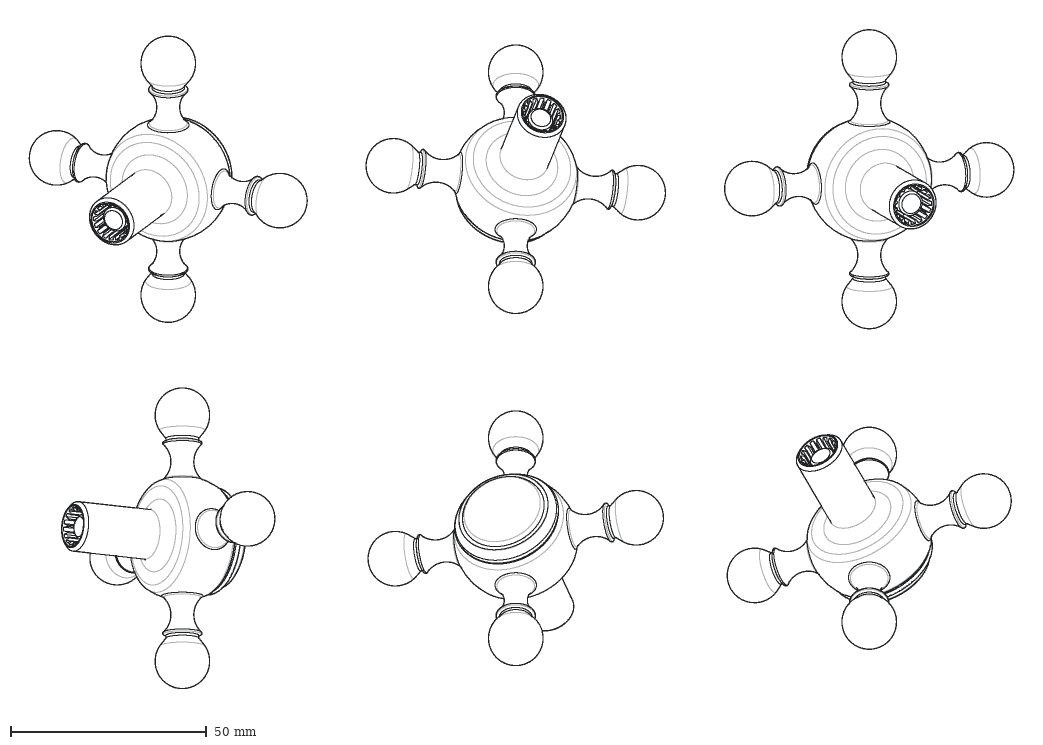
import cadquery as cq
import math

overall_span = 78.0
overall_length = 47.25
button_top_y = 14.4
arm_count = 4

hub_half_length = 7.65
hub_rim_fillet = 1.95
hub_sphere_radius = 15.9

stem_radius = 6.4
stem_end_y = button_top_y - overall_length
stem_root_fillet = 3.0
stem_end_chamfer = 0.85

bore_depth = 9.35
spline_root_radius = 4.9
spline_tip_radius = 4.2
spline_count = 16
spline_base_width = 0.9
spline_tip_width = 0.3
lead_in_radius = 5.2
lead_in_depth = 0.9

screw_radius = 3.2
screw_chamfer = 0.6
screw_clearance_radius = 3.5
screw_clearance_depth = 0.8
screw_recess = 1.9
screw_seat_depth = 6.2

ball_radius = 7.0
ball_center = overall_span / 2 - ball_radius
ball_neck_start = 28.1
arm_inner_end = 11.7
arm_base_radius = 5.3
arm_cove_start = 15.4
arm_cove_start_radius = 4.8
arm_waist_radius = 3.0
arm_cove_end = 24.5
collar_side_radius = 4.9
collar_radius = 5.1
collar_position = 24.7
collar_end = 24.95
groove_radius = 4.2
groove_start = 25.3
groove_end = 26.0

ring_neck_radius = 13.5
ring_bead_start_y = 8.0
ring_bead_end_y = 9.3
ring_bead_radius = 13.8
ring_bead_side_radius = 13.5
ring_top_y = 11.6
ring_top_band = 0.2
ring_top_radius = 11.85
ring_cove_radius = 12.2
ring_cove_y = 10.2

button_radius = 10.85
button_shoulder_radius = 10.1
button_shoulder_y = 12.8
button_bulge_radius = 10.7
button_bulge_y = 12.25


def turned(profile):
    """Revolve a closed profile, drawn as (radius, Y), about the Y axis."""
    return profile.close().revolve(360, (0, 0, 0), (0, 1, 0))


def make_screw():
    """Screw with a chamfered tip, seated blind in the stem beyond the bore."""
    end_y = stem_end_y + screw_recess
    seat_y = stem_end_y + bore_depth + screw_seat_depth
    profile = (
        cq.Workplane("XY")
        .moveTo(0, end_y)
        .lineTo(screw_radius - screw_chamfer, end_y)
        .lineTo(screw_radius, end_y + screw_chamfer)
        .lineTo(screw_radius, seat_y)
        .lineTo(0, seat_y)
    )
    return turned(profile)


def make_splined_bore():
    """Cutter for the bore: a toothed cylinder, its tapered mouth and the gap round the screw."""
    bore_plane = cq.Plane(origin=(0, stem_end_y, 0), xDir=(1, 0, 0), normal=(0, 1, 0))
    bore = cq.Workplane(bore_plane).circle(spline_root_radius).extrude(bore_depth)
    tooth = (
        cq.Workplane(bore_plane)
        .polyline([
            (spline_tip_radius, -spline_tip_width / 2),
            (spline_root_radius, -spline_base_width / 2),
            (stem_radius, -spline_base_width / 2),
            (stem_radius, spline_base_width / 2),
            (spline_root_radius, spline_base_width / 2),
            (spline_tip_radius, spline_tip_width / 2),
        ])
        .close()
        .extrude(bore_depth)
    )
    pitch_angle = 360 / spline_count
    for index in range(spline_count):
        bore = bore.cut(tooth.rotate((0, 0, 0), (0, 1, 0), (index + 0.5) * pitch_angle))
    lead_in = turned(
        cq.Workplane("XY")
        .moveTo(0, stem_end_y)
        .lineTo(lead_in_radius, stem_end_y)
        .lineTo(spline_tip_radius, stem_end_y + lead_in_depth)
        .lineTo(0, stem_end_y + lead_in_depth)
    )
    clearance_depth = bore_depth + screw_clearance_depth
    clearance = cq.Workplane(bore_plane).circle(screw_clearance_radius).extrude(clearance_depth)
    return bore.union(lead_in).union(clearance)


def make_hub(arms, screw):
    """Hub and stem in one turned body, with the bore, the screw hole and the arm sockets cut out."""
    fillet_mid = stem_root_fillet * (1 - math.sqrt(0.5))
    rim_center_y = hub_half_length - hub_rim_fillet
    face_radius = math.sqrt((hub_sphere_radius - hub_rim_fillet) ** 2 - rim_center_y**2)
    rim_angle = math.atan2(rim_center_y, face_radius)
    rim_radius = hub_sphere_radius * math.cos(rim_angle)
    rim_y = hub_sphere_radius * math.sin(rim_angle)
    rim_mid_angle = (rim_angle + math.pi / 2) / 2
    rim_mid_radius = face_radius + hub_rim_fillet * math.cos(rim_mid_angle)
    rim_mid_y = rim_center_y + hub_rim_fillet * math.sin(rim_mid_angle)
    profile = (
        cq.Workplane("XY")
        .moveTo(0, stem_end_y)
        .lineTo(stem_radius - stem_end_chamfer, stem_end_y)
        .lineTo(stem_radius, stem_end_y + stem_end_chamfer)
        .lineTo(stem_radius, -hub_half_length - stem_root_fillet)
        .threePointArc(
            (stem_radius + fillet_mid, -hub_half_length - fillet_mid),
            (stem_radius + stem_root_fillet, -hub_half_length),
        )
        .lineTo(face_radius, -hub_half_length)
        .threePointArc((rim_mid_radius, -rim_mid_y), (rim_radius, -rim_y))
        .threePointArc((hub_sphere_radius, 0), (rim_radius, rim_y))
        .threePointArc((rim_mid_radius, rim_mid_y), (face_radius, hub_half_length))
        .lineTo(0, hub_half_length)
    )
    hub = turned(profile).cut(make_splined_bore()).cut(screw)
    for arm in arms:
        hub = hub.cut(arm)
    return hub


def make_arm(angle):
    """Arm along +X turned about its own axis, then swung round the hub axis; its root fills a hub socket."""
    neck_radius = math.sqrt(ball_radius**2 - (ball_center - ball_neck_start) ** 2)
    arm_base = math.sqrt(hub_sphere_radius**2 - arm_base_radius**2)
    cove_middle = (arm_cove_start + arm_cove_end) / 2
    arm = (
        cq.Workplane("XY")
        .moveTo(arm_inner_end, 0)
        .lineTo(arm_inner_end, arm_base_radius)
        .lineTo(arm_base, arm_base_radius)
        .lineTo(arm_cove_start, arm_cove_start_radius)
        .threePointArc((cove_middle, arm_waist_radius), (arm_cove_end, collar_side_radius))
        .threePointArc((collar_position, collar_radius), (collar_end, collar_side_radius))
        .lineTo(groove_start, groove_radius)
        .lineTo(groove_end, groove_radius)
        .lineTo(ball_neck_start, neck_radius)
        .threePointArc((ball_center, ball_radius), (ball_center + ball_radius, 0))
        .close()
        .revolve(360, (0, 0, 0), (1, 0, 0))
    )
    return arm.rotate((0, 0, 0), (0, 1, 0), angle)


def make_trim_ring():
    """Flat disc with a neck, a rounded bead and a hollow flank up to its narrow top band."""
    bead_middle_y = (ring_bead_start_y + ring_bead_end_y) / 2
    profile = (
        cq.Workplane("XY")
        .moveTo(0, hub_half_length)
        .lineTo(ring_neck_radius, hub_half_length)
        .lineTo(ring_bead_side_radius, ring_bead_start_y)
        .threePointArc((ring_bead_radius, bead_middle_y), (ring_bead_side_radius, ring_bead_end_y))
        .threePointArc((ring_cove_radius, ring_cove_y), (ring_top_radius, ring_top_y - ring_top_band))
        .lineTo(ring_top_radius, ring_top_y)
        .lineTo(0, ring_top_y)
    )
    return turned(profile)


def make_button():
    """Low domed disc with a rounded shoulder."""
    crown_height = button_top_y - button_shoulder_y
    crown_radius = (button_shoulder_radius**2 + crown_height**2) / (2 * crown_height)
    crown_middle_x = button_shoulder_radius / 2
    crown_middle_y = button_top_y - crown_radius + math.sqrt(crown_radius**2 - crown_middle_x**2)
    profile = (
        cq.Workplane("XY")
        .moveTo(0, ring_top_y)
        .lineTo(button_radius, ring_top_y)
        .threePointArc((button_bulge_radius, button_bulge_y), (button_shoulder_radius, button_shoulder_y))
        .threePointArc((crown_middle_x, crown_middle_y), (0, button_top_y))
    )
    return turned(profile)


arms = [make_arm(index * 360 / arm_count) for index in range(arm_count)]
screw = make_screw()
hub = make_hub(arms, screw)
trim_ring = make_trim_ring()
button = make_button()

result = cq.Compound.makeCompound(
    [hub.val(), screw.val(), trim_ring.val(), button.val()] + [arm.val() for arm in arms]
)